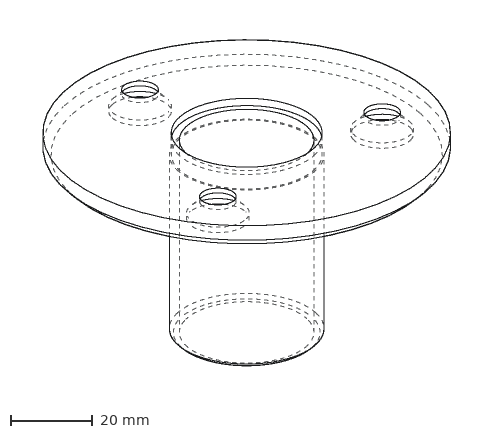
import cadquery as cq

total_height = 55.0
flange_radius = 50.0
flange_thickness = 6.0
flange_chamfer = 2.0

tube_radius = 19.0
tube_bore_radius = 16.5
spigot_radius = 18.5
spigot_recess = 2.0
tube_chamfer = 1.0

screw_count = 3
screw_circle_radius = 35.0
first_screw_angle = 90.0
screw_radius = 4.5
screw_head_radius = 7.7
screw_head_depth = 1.5
screw_cone_height = screw_head_radius - screw_radius

flange_bottom = total_height - flange_thickness
spigot_top = total_height - spigot_recess


def make_screw_cutter():
    """Stepped screw hole, revolved about Z and ready to be moved into place."""
    cone_bottom = flange_bottom + screw_head_depth
    cone_top = cone_bottom + screw_cone_height
    profile = [
        (0, flange_bottom),
        (screw_head_radius, flange_bottom),
        (screw_head_radius, cone_bottom),
        (screw_radius, cone_top),
        (screw_radius, total_height),
        (0, total_height),
    ]
    return cq.Workplane("XZ").polyline(profile).close().revolve(360, (0, 0), (0, 1))


def make_flange():
    """Round plate with a chamfered lower rim, a spigot hole and screw holes."""
    plate = cq.Workplane("XY").workplane(offset=flange_bottom).circle(flange_radius).extrude(flange_thickness)
    plate = plate.faces("<Z").edges().chamfer(flange_chamfer)
    plate = plate.faces(">Z").workplane().hole(2 * spigot_radius)
    cutter = make_screw_cutter().translate((screw_circle_radius, 0, 0))
    for index in range(screw_count):
        angle = first_screw_angle + index * 360 / screw_count
        plate = plate.cut(cutter.rotate((0, 0, 0), (0, 0, 1), angle))
    return plate


def make_tube():
    """Tube with a chamfered lower end and a reduced spigot at its upper end."""
    profile = [
        (tube_bore_radius, 0),
        (tube_radius - tube_chamfer, 0),
        (tube_radius, tube_chamfer),
        (tube_radius, flange_bottom),
        (spigot_radius, flange_bottom),
        (spigot_radius, spigot_top),
        (tube_bore_radius, spigot_top),
    ]
    return cq.Workplane("XZ").polyline(profile).close().revolve(360, (0, 0), (0, 1))


flange = make_flange()
tube = make_tube()
result = cq.Compound.makeCompound([flange.val(), tube.val()])